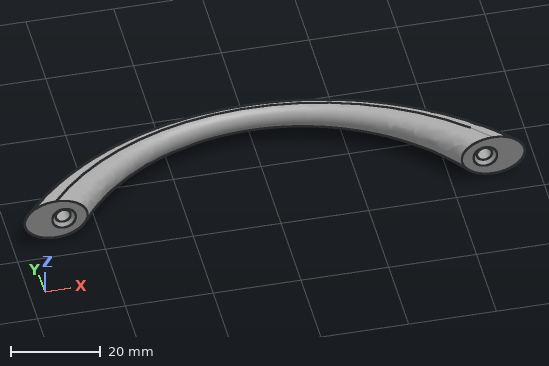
import cadquery as cq
import math

length = 114.0
rise = 27.3
inner_span = 85.2
inner_rise = 21.8

foot_height = 10.5
crown_height = 5.7

hole_spacing = 96.0
hole_diameter = 3.4
hole_depth = 5.7
drill_tip_length = 1.0
countersink_diameter = 5.4
countersink_depth = 0.9

sections_per_side = 4
crown_centre = (rise + inner_rise) / 2


def arc_point(span, arc_rise, fraction):
    """Point on a bow arc; fraction runs from -1 (left foot) to 1 (right foot)."""
    radius = ((span / 2) ** 2 + arc_rise**2) / (2 * arc_rise)
    angle = fraction * math.asin(span / 2 / radius)
    return cq.Vector(radius * math.sin(angle), arc_rise - radius * (1 - math.cos(angle)), 0)


def grip_section(fraction):
    """Ellipse spanning the gap between the inner and outer arcs."""
    outer = arc_point(length, rise, fraction)
    inner = arc_point(inner_span, inner_rise, fraction)
    centre = (outer + inner) / 2
    across = outer - inner
    height = foot_height + (crown_height - foot_height) * centre.y / crown_centre
    along = across.cross(cq.Vector(0, 0, 1))
    plane = cq.Plane(origin=centre, xDir=across, normal=along)
    return cq.Workplane(plane).ellipse(across.Length / 2, height / 2).wires().val()


def screw_hole(x):
    """Countersunk blind hole with a conical bottom, revolved about an axis parallel to Y."""
    profile = (
        cq.Workplane("XY", origin=(x, 0, 0))
        .lineTo(countersink_diameter / 2, 0)
        .lineTo(hole_diameter / 2, countersink_depth)
        .lineTo(hole_diameter / 2, hole_depth)
        .lineTo(0, hole_depth + drill_tip_length)
        .close()
    )
    return profile.revolve(360, (0, 0, 0), (0, 1, 0))


sections = [
    grip_section(step / sections_per_side)
    for step in range(-sections_per_side, sections_per_side + 1)
]
result = cq.Workplane(cq.Solid.makeLoft(sections))

for side in (-1, 1):
    result = result.cut(screw_hole(side * hole_spacing / 2))